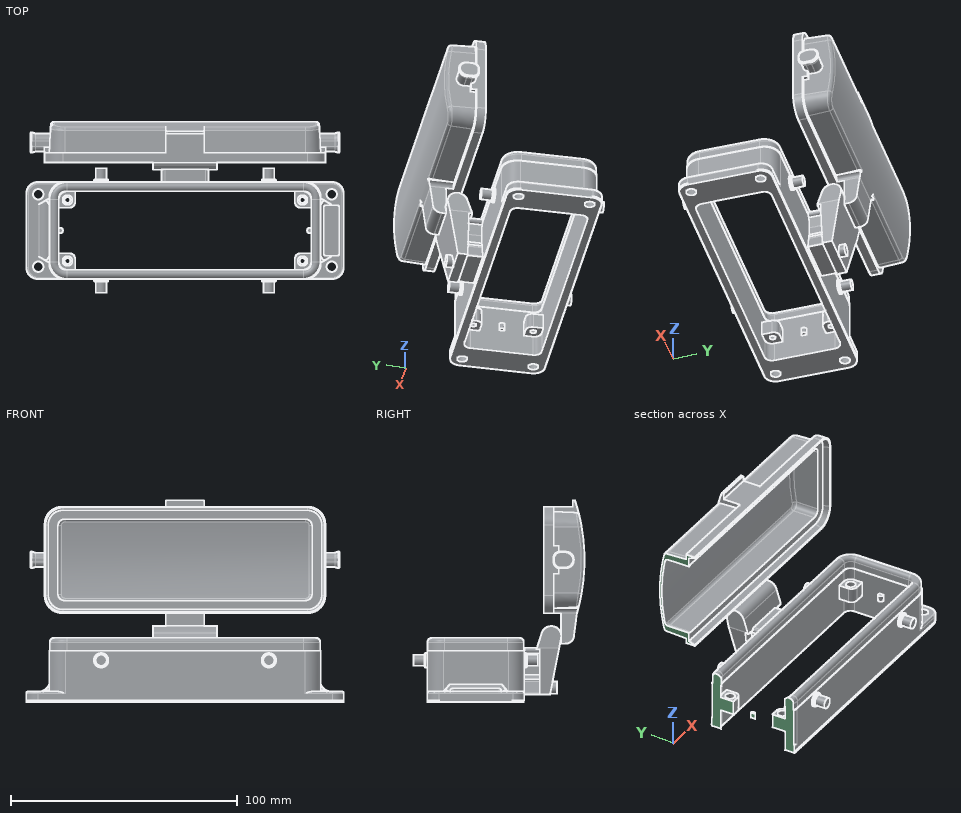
import cadquery as cq
import math

FLANGE_LENGTH = 140.0
HOUSING_WIDTH = 42.8
SOLE_HEIGHT = 0.8
SOLE_INSET = 0.1
FLANGE_HEIGHT = 4.8
FLANGE_CORNER = 5.2
FLANGE_EDGE_FILLET = 0.8
FLANGE_HOLE_DIAMETER = 4.5
FLANGE_HOLE_X = 64.7
FLANGE_HOLE_Y = 16.0

HOUSING_HEIGHT = 28.4
RIM_LENGTH = 119.3
RIM_WIDTH = 42.5
RIM_BOTTOM = 22.7
RIM_STEP = 0.3
WALL = 4.0
OPENING_STEP = 0.1
WALL_CORNER = 7.4

POST_X = 51.8
POST_Y = 13.5
POST_REACH = 3.5
POST_CORNER = 2.8
POST_BOTTOM = 9.8
POST_TOP = 16.8
POST_HOLE_DIAMETER = 2.5
POST_BORE_DIAMETER = 4.3
POST_BORE_DEPTH = 3.5

PEG_DIAMETER = 2.5
PEG_BOTTOM = 11.2
PEG_HEIGHT = 2.8
PEG_OFFSET = 0.5

LOCK_PIN_X = 37.0
LOCK_PIN_Z = 18.5
LOCK_PIN_DIAMETER = 4.9
LOCK_PIN_TIP = 27.5
COLLAR_DIAMETER = 6.5
COLLAR_NECK_DIAMETER = 5.5
COLLAR_LENGTH = 0.7
COLLAR_TAPER = 0.5

GUSSET_REACH = 4.5
GUSSET_RISE = 3.1
GUSSET_HALF_WIDTH = 11.5
GUSSET_TAPER = 2.7

LABEL_X = 64.5
LABEL_LENGTH = 7.0
LABEL_WIDTH = 22.4
LABEL_CORNER = 1.1
LABEL_DEPTH = 0.3

COVER_Z = 62.7
COVER_FRONT = 30.0
COVER_BACK = 48.0
DOME_RADIUS = 84.0
LIP_LENGTH = 123.9
LIP_HEIGHT = 47.0
LIP_CORNER = 8.0
LIP_BACK = 34.3
LIP_EDGE = 0.5
SEAT_SLOPE = 1.1
SEAT_DEPTH = 3.0
SHELL_LENGTH = 119.5
SHELL_HEIGHT = 42.5
SHELL_CORNER = 6.7
SHELL_DRAFT = 2.5
SHELL_BACK_FILLET = 1.7
CAVITY_LENGTH = 112.0
CAVITY_HEIGHT = 35.8
CAVITY_CORNER = 3.0
CAVITY_FLOOR_FILLET = 1.4
BACK_WALL = 1.3

SPINE_WIDTH = 17.1
SPINE_FILLET = 2.0
TAB_TOP = 89.0
TAB_FRONT = 42.7
TAB_CORNER = 0.7
STRAP_FRONT = 37.5
STRAP_BOTTOM = 25.8
STRAP_BACK_LOW = 43.4
STRAP_END_RADIUS = 3.8

PAD_BACK = 36.7
PAD_HEIGHT = 12.3
END_ROOT_GAP = 1.4
STUD_TIP = 68.2
STUD_DISC_START = 67.5
STUD_TAPER_START = 66.0
STUD_DIAMETER = 6.5
STUD_AXIS_Y = 39.6
STUD_FRONT = 34.7
STUD_FRONT_RADIUS = 2.4
STUD_DISC_OVERHANG = 0.49
STUD_TIP_CHAMFER = 0.4

ARM_WIDTH = 28.3
ARM_BOTTOM = 3.4
ARM_FRONT = 28.3
ARM_HEAD_Y = 33.3
ARM_HEAD_Z = 29.1
ARM_HEAD_RADIUS = 4.5
ARM_BACK_BOTTOM = 32.8
ARM_FRONT_ANGLE = 18.0
ARM_BACK_ANGLE = 11.0
ARM_TAPER_TOP = 24.1
ARM_LIP_Z = 23.4
ARM_FOOT_WIDTH = 22.4

BRACKET_TOP_WIDTH = 17.6
BRACKET_WIDTH = 20.7
BRACKET_NECK_WIDTH = 16.8
BEAD_BOTTOM = 21.5
NECK_ROUND_BOTTOM = 16.1
NECK_BOTTOM = 12.0
STEP_TOP = 10.1
STEP_BOTTOM = 9.2
STEP_WIDTH = 18.5
BRACKET_FOOT_EDGE = 4.0

SCREW_Z = 6.5
SCREW_HEAD_DIAMETER = 5.5
SCREW_HEAD_BACK = 35.8
SCREW_HEAD_SEAT = 32.5
SCREW_DIAMETER = 2.5
SCREW_TIP = 23.8

SIDES = (-1, 1)


def rounded_block(length, width, bottom, top, corner):
    """Upright block centred on the Z axis with round vertical edges."""
    block = cq.Workplane("XY").workplane(offset=bottom).rect(length, width).extrude(top - bottom)
    return block.edges("|Z").fillet(corner)


def cover_block(length, height, front, back, corner, draft=0.0):
    """Block along +Y, centred on the cover's middle, with round edges along Y."""
    outline = cq.Sketch().rect(length, height).vertices().fillet(corner)
    plane = cq.Plane(origin=(0, front, COVER_Z), xDir=(-1, 0, 0), normal=(0, 1, 0))
    return cq.Workplane(plane).placeSketch(outline).extrude(back - front, taper=draft)


def extruded_along_x(outline, width):
    """Extrudes an outline drawn in (Y, Z) to both sides of the middle plane."""
    return outline.extrude(width / 2, both=True)


def rod_along_y(x, z, start, end, diameter):
    direction = cq.Vector(0, math.copysign(1, end - start), 0)
    rod = cq.Solid.makeCylinder(diameter / 2, abs(end - start), cq.Vector(x, start, z), direction)
    return cq.Workplane(rod)


def locking_pin(x, side):
    """Pin on a long wall, with a collar that tapers down to it."""
    wall = HOUSING_WIDTH / 2
    collar_end = wall + COLLAR_LENGTH
    pin = rod_along_y(x, LOCK_PIN_Z, side * (wall - WALL / 2), side * LOCK_PIN_TIP, LOCK_PIN_DIAMETER)
    collar = rod_along_y(x, LOCK_PIN_Z, side * (wall - WALL / 2), side * collar_end, COLLAR_DIAMETER)
    taper = cq.Solid.makeCone(
        COLLAR_DIAMETER / 2, COLLAR_NECK_DIAMETER / 2, COLLAR_TAPER,
        cq.Vector(x, side * collar_end, LOCK_PIN_Z), cq.Vector(0, side, 0),
    )
    return pin.union(collar).union(cq.Workplane(taper))


def corner_post(x_side, y_side):
    """Fixing post in an inner corner, with its free corner rounded."""
    length = RIM_LENGTH / 2 - WALL / 2 - POST_X + POST_REACH
    width = HOUSING_WIDTH / 2 - WALL / 2 - POST_Y + POST_REACH
    post = (
        cq.Workplane("XY", origin=(POST_X - POST_REACH, POST_Y - POST_REACH, POST_BOTTOM))
        .rect(length, width, centered=False)
        .extrude(POST_TOP - POST_BOTTOM)
        .edges("|Z and <X and <Y")
        .fillet(POST_CORNER)
        .faces(">Z")
        .workplane(origin=(POST_X, POST_Y, POST_TOP))
        .cboreHole(POST_HOLE_DIAMETER, POST_BORE_DIAMETER, POST_BORE_DEPTH)
    )
    if x_side < 0:
        post = post.mirror("YZ")
    if y_side < 0:
        post = post.mirror("XZ")
    return post


def gusset(side):
    """Concave gusset between an end wall and the flange, sloping away at both ends."""
    wall = RIM_LENGTH / 2 + RIM_STEP
    inside = wall - WALL / 2
    toe = wall + GUSSET_REACH
    top = FLANGE_HEIGHT + GUSSET_RISE
    root = FLANGE_HEIGHT - FLANGE_EDGE_FILLET
    foot_half_width = GUSSET_HALF_WIDTH + GUSSET_TAPER
    arc_angle = 2 * math.atan(GUSSET_RISE / GUSSET_REACH)
    arc_radius = GUSSET_REACH / math.sin(arc_angle)
    arc_middle = (
        toe - arc_radius * math.sin(arc_angle / 2),
        FLANGE_HEIGHT + arc_radius * (1 - math.cos(arc_angle / 2)),
    )
    body = (
        cq.Workplane("XZ")
        .moveTo(inside, root)
        .lineTo(toe, root)
        .lineTo(toe, FLANGE_HEIGHT)
        .threePointArc(arc_middle, (wall, top))
        .lineTo(inside, top)
        .close()
        .extrude(foot_half_width, both=True)
    )
    plan = (
        cq.Workplane("XY")
        .polyline([
            (inside, -foot_half_width),
            (wall, -foot_half_width),
            (toe, -GUSSET_HALF_WIDTH),
            (toe, GUSSET_HALF_WIDTH),
            (wall, foot_half_width),
            (inside, foot_half_width),
        ])
        .close()
        .extrude(top)
    )
    end_outline = (
        cq.Workplane("YZ")
        .polyline([
            (-foot_half_width, root),
            (-foot_half_width, FLANGE_HEIGHT),
            (-GUSSET_HALF_WIDTH, top),
            (GUSSET_HALF_WIDTH, top),
            (foot_half_width, FLANGE_HEIGHT),
            (foot_half_width, root),
        ])
        .close()
        .extrude(toe)
    )
    body = body.intersect(plan).intersect(end_outline)
    return body if side > 0 else body.mirror("YZ")


def make_rim(opening_length, opening_width):
    """Upper part of the walls, with a full round along its top."""
    round_height = HOUSING_HEIGHT - WALL / 2
    inner_corner = WALL_CORNER - WALL
    rim = rounded_block(RIM_LENGTH, RIM_WIDTH, RIM_BOTTOM, round_height, WALL_CORNER)
    rim = rim.cut(rounded_block(opening_length, opening_width, RIM_BOTTOM, round_height, inner_corner))
    path_block = rounded_block(
        RIM_LENGTH - WALL, RIM_WIDTH - WALL, RIM_BOTTOM, round_height, WALL_CORNER - WALL / 2
    )
    path = path_block.faces(">Z").wires()
    bead = (
        cq.Workplane("XZ", origin=(0, 0, round_height))
        .center((RIM_LENGTH - WALL) / 2, 0)
        .circle(WALL / 2)
        .sweep(path, transition="round")
    )
    return rim.union(bead)


def make_housing():
    opening_length = RIM_LENGTH - 2 * WALL
    opening_width = RIM_WIDTH - 2 * WALL
    sole_width = HOUSING_WIDTH - 2 * SOLE_INSET
    sole = rounded_block(FLANGE_LENGTH, sole_width, 0, SOLE_HEIGHT, FLANGE_CORNER)
    flange = rounded_block(FLANGE_LENGTH, HOUSING_WIDTH, SOLE_HEIGHT, FLANGE_HEIGHT, FLANGE_CORNER)
    flange = flange.faces(">Z").edges().fillet(FLANGE_EDGE_FILLET).union(sole)
    walls = rounded_block(
        RIM_LENGTH + 2 * RIM_STEP, HOUSING_WIDTH, SOLE_HEIGHT, RIM_BOTTOM, WALL_CORNER - RIM_STEP
    )
    opening = rounded_block(
        opening_length + 2 * OPENING_STEP, opening_width + 2 * OPENING_STEP, 0, RIM_BOTTOM, WALL_CORNER - WALL
    )
    housing = flange.union(walls).cut(opening).union(make_rim(opening_length, opening_width))

    for side in SIDES:
        housing = housing.union(gusset(side))
        peg = (
            cq.Workplane("XY", origin=(side * (opening_length / 2 - PEG_OFFSET), 0, PEG_BOTTOM))
            .circle(PEG_DIAMETER / 2)
            .extrude(PEG_HEIGHT)
        )
        housing = housing.union(peg)
        for x_side in SIDES:
            housing = housing.union(locking_pin(x_side * LOCK_PIN_X, side))
            housing = housing.union(corner_post(x_side, side))

    holes = (
        cq.Workplane("XY")
        .rect(2 * FLANGE_HOLE_X, 2 * FLANGE_HOLE_Y, forConstruction=True)
        .vertices()
        .circle(FLANGE_HOLE_DIAMETER / 2)
        .extrude(FLANGE_HEIGHT)
    )
    label = (
        cq.Workplane("XY", origin=(LABEL_X, 0, FLANGE_HEIGHT - LABEL_DEPTH))
        .rect(LABEL_LENGTH, LABEL_WIDTH)
        .extrude(GUSSET_RISE)
        .edges("|Z")
        .fillet(LABEL_CORNER)
    )
    return housing.cut(holes).cut(label)


def dome(radius, crest):
    """Cylinder along X whose rearmost line is at the crest."""
    return (
        cq.Workplane("YZ")
        .center(crest - radius, COVER_Z)
        .circle(radius)
        .extrude(FLANGE_LENGTH / 2, both=True)
    )


def dome_y(z):
    """Y of the domed back at a height."""
    return COVER_BACK - DOME_RADIUS + math.sqrt(DOME_RADIUS**2 - (z - COVER_Z) ** 2)


def make_strap():
    """Spine across the cover's back, with the tab on top and the hinge strap below."""
    lip_top = COVER_Z + LIP_HEIGHT / 2
    lip_bottom = COVER_Z - LIP_HEIGHT / 2
    outline = (
        cq.Workplane("YZ")
        .moveTo(LIP_BACK, lip_top)
        .lineTo(TAB_FRONT, lip_top)
        .lineTo(TAB_FRONT, TAB_TOP)
        .lineTo(dome_y(TAB_TOP), TAB_TOP)
        .threePointArc((COVER_BACK, COVER_Z), (dome_y(lip_bottom), lip_bottom))
        .lineTo(STRAP_BACK_LOW, STRAP_BOTTOM + STRAP_END_RADIUS)
        .threePointArc(
            (
                STRAP_BACK_LOW - STRAP_END_RADIUS * (1 - math.sqrt(0.5)),
                STRAP_BOTTOM + STRAP_END_RADIUS * (1 - math.sqrt(0.5)),
            ),
            (STRAP_BACK_LOW - STRAP_END_RADIUS, STRAP_BOTTOM),
        )
        .lineTo(STRAP_FRONT, STRAP_BOTTOM)
        .lineTo(STRAP_FRONT, lip_bottom)
        .lineTo(LIP_BACK, lip_bottom)
        .close()
    )
    strap = extruded_along_x(outline, SPINE_WIDTH)
    return strap.edges("|Y").edges(">Z").fillet(TAB_CORNER)


def spine_blend(side):
    """Concave fillet in the corner between the shell's underside and one side of the spine."""
    root_x = SPINE_WIDTH / 2
    root_z = COVER_Z - SHELL_HEIGHT / 2
    shell_overlap = (COVER_BACK - LIP_BACK) * math.tan(math.radians(SHELL_DRAFT))
    arc_inset = SPINE_FILLET * (1 - math.sqrt(0.5))
    blend = (
        cq.Workplane("XZ", origin=(0, COVER_BACK, 0))
        .moveTo(root_x, root_z + shell_overlap)
        .lineTo(root_x + SPINE_FILLET, root_z + shell_overlap)
        .lineTo(root_x + SPINE_FILLET, root_z)
        .threePointArc((root_x + arc_inset, root_z - arc_inset), (root_x, root_z - SPINE_FILLET))
        .close()
        .extrude(COVER_BACK - LIP_BACK)
        .intersect(dome(DOME_RADIUS, COVER_BACK))
    )
    return blend if side > 0 else blend.mirror("YZ")


def stud_outline(plane_x, growth):
    """Section of a cover stud: half round behind, flat with round corners in front."""
    radius = STUD_DIAMETER / 2 + growth
    front = STUD_FRONT - growth
    corner = STUD_FRONT_RADIUS + growth
    diagonal = corner * math.sqrt(0.5)
    return (
        cq.Workplane("YZ", origin=(plane_x, 0, COVER_Z))
        .moveTo(STUD_AXIS_Y, radius)
        .threePointArc((STUD_AXIS_Y + radius, 0), (STUD_AXIS_Y, -radius))
        .lineTo(front + corner, -radius)
        .threePointArc(
            (front + corner - diagonal, corner - radius - diagonal), (front, corner - radius)
        )
        .lineTo(front, radius - corner)
        .threePointArc(
            (front + corner - diagonal, radius - corner + diagonal), (front + corner, radius)
        )
        .close()
    )


def make_stud(side):
    """Stud on the cover's end, flaring to a thin disc at its tip."""
    start = CAVITY_LENGTH / 2 + END_ROOT_GAP
    shaft = stud_outline(start, 0).extrude(STUD_TIP - start)
    flare_length = STUD_DISC_START - STUD_TAPER_START
    flare_angle = math.degrees(math.atan(STUD_DISC_OVERHANG / flare_length))
    flare = stud_outline(STUD_TAPER_START, 0).extrude(flare_length, taper=-flare_angle)
    disc = stud_outline(STUD_DISC_START, STUD_DISC_OVERHANG).extrude(STUD_TIP - STUD_DISC_START)
    disc = disc.faces(">X").edges().chamfer(STUD_TIP_CHAMFER)
    stud = shaft.union(flare).union(disc)
    return stud if side > 0 else stud.mirror("YZ")


def make_cover():
    lip = cover_block(LIP_LENGTH, LIP_HEIGHT, COVER_FRONT, LIP_BACK, LIP_CORNER)
    shell = cover_block(SHELL_LENGTH, SHELL_HEIGHT, LIP_BACK, COVER_BACK, SHELL_CORNER, SHELL_DRAFT)
    shell = shell.intersect(dome(DOME_RADIUS, COVER_BACK)).faces(">Y").edges().fillet(SHELL_BACK_FILLET)
    cover = lip.union(shell).union(make_strap())

    for side in SIDES:
        pad_start = CAVITY_LENGTH / 2 + END_ROOT_GAP
        pad_length = LIP_LENGTH / 2 - pad_start
        pad = cq.Workplane("XY").box(pad_length, PAD_BACK - LIP_BACK, PAD_HEIGHT).translate(
            (side * (pad_start + pad_length / 2), (PAD_BACK + LIP_BACK) / 2, COVER_Z)
        )
        cover = cover.union(pad).union(make_stud(side)).union(spine_blend(side))

    seat_angle = math.degrees(math.atan(SEAT_SLOPE / SEAT_DEPTH))
    seat = cover_block(
        LIP_LENGTH - 2 * LIP_EDGE, LIP_HEIGHT - 2 * LIP_EDGE,
        COVER_FRONT, COVER_FRONT + SEAT_DEPTH, LIP_CORNER - LIP_EDGE, seat_angle,
    )
    cavity = cover_block(CAVITY_LENGTH, CAVITY_HEIGHT, COVER_FRONT, COVER_BACK, CAVITY_CORNER)
    cavity = cavity.intersect(dome(DOME_RADIUS - BACK_WALL, COVER_BACK - BACK_WALL))
    cavity = cavity.faces(">Y").edges().fillet(CAVITY_FLOOR_FILLET)
    return cover.cut(seat).cut(cavity)


def make_arm(cover):
    """Hinge arm: a wide round head, recessed for the cover's strap, on a shank that narrows downwards."""
    front_angle = math.radians(ARM_FRONT_ANGLE)
    back_angle = math.radians(ARM_BACK_ANGLE)
    front_y = ARM_HEAD_Y - ARM_HEAD_RADIUS * math.cos(front_angle)
    front_z = ARM_HEAD_Z + ARM_HEAD_RADIUS * math.sin(front_angle)
    back_y = ARM_HEAD_Y + ARM_HEAD_RADIUS * math.cos(back_angle)
    back_z = ARM_HEAD_Z - ARM_HEAD_RADIUS * math.sin(back_angle)
    lip_y = front_y - (front_z - ARM_LIP_Z) * math.tan(front_angle)
    outline = (
        cq.Workplane("YZ")
        .moveTo(ARM_FRONT, ARM_BOTTOM)
        .lineTo(ARM_FRONT, ARM_LIP_Z)
        .lineTo(lip_y, ARM_LIP_Z)
        .lineTo(front_y, front_z)
        .threePointArc((ARM_HEAD_Y, ARM_HEAD_Z + ARM_HEAD_RADIUS), (back_y, back_z))
        .lineTo(ARM_BACK_BOTTOM, ARM_BOTTOM)
        .close()
    )
    arm = extruded_along_x(outline, ARM_WIDTH)
    head_top = ARM_HEAD_Z + ARM_HEAD_RADIUS
    front_outline = (
        cq.Workplane("XZ", origin=(0, COVER_BACK, 0))
        .polyline([
            (-ARM_FOOT_WIDTH / 2, ARM_BOTTOM),
            (-ARM_WIDTH / 2, ARM_TAPER_TOP),
            (-ARM_WIDTH / 2, head_top),
            (ARM_WIDTH / 2, head_top),
            (ARM_WIDTH / 2, ARM_TAPER_TOP),
            (ARM_FOOT_WIDTH / 2, ARM_BOTTOM),
        ])
        .close()
        .extrude(COVER_BACK)
    )
    return arm.intersect(front_outline).cut(cover)


def make_bracket():
    """Bracket between the housing and the arm: a beaded top over a neck and a sloped foot."""
    half = BRACKET_WIDTH / 2
    bead_middle = (ARM_TAPER_TOP + BEAD_BOTTOM) / 2
    neck = BRACKET_NECK_WIDTH / 2
    profile = (
        cq.Workplane("XZ", origin=(0, ARM_FRONT, 0))
        .moveTo(0, ARM_TAPER_TOP)
        .lineTo(BRACKET_TOP_WIDTH / 2, ARM_TAPER_TOP)
        .threePointArc((half, bead_middle), (BRACKET_TOP_WIDTH / 2, BEAD_BOTTOM))
        .lineTo(neck, NECK_ROUND_BOTTOM)
        .lineTo(neck, NECK_BOTTOM)
        .lineTo(STEP_WIDTH / 2, STEP_TOP)
        .lineTo(STEP_WIDTH / 2, STEP_BOTTOM)
        .lineTo(half, BRACKET_FOOT_EDGE)
        .lineTo(half, ARM_BOTTOM)
        .lineTo(0, ARM_BOTTOM)
        .close()
    )
    half_bracket = profile.extrude(ARM_FRONT - HOUSING_WIDTH / 2)
    return half_bracket.union(half_bracket.mirror("YZ"))


def make_screw():
    """Screw that holds the arm to the bracket."""
    head = rod_along_y(0, SCREW_Z, SCREW_HEAD_BACK, SCREW_HEAD_SEAT, SCREW_HEAD_DIAMETER)
    shank = rod_along_y(0, SCREW_Z, SCREW_HEAD_SEAT, SCREW_TIP, SCREW_DIAMETER)
    return head.union(shank)


housing = make_housing()
cover = make_cover()
screw = make_screw()
arm = make_arm(cover).cut(screw)
bracket = make_bracket().cut(arm).cut(screw)
result = cq.Compound.makeCompound([housing.val(), cover.val(), arm.val(), bracket.val(), screw.val()])